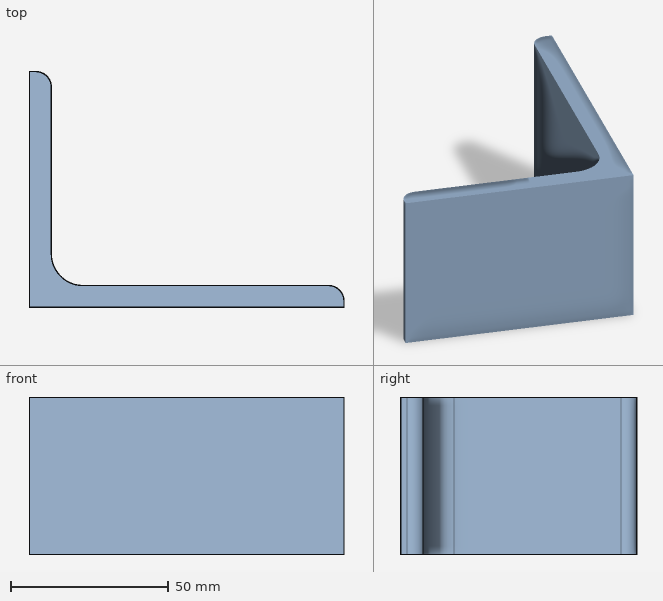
import cadquery as cq

long_leg = 100.0
short_leg = 75.0
length = 50.0
thickness = 7.0
root_radius = 10.0
toe_radius = 5.0

profile = (
    cq.Workplane("XY")
    .polyline([
        (0, 0),
        (long_leg, 0),
        (long_leg, thickness),
        (thickness, thickness),
        (thickness, short_leg),
        (0, short_leg),
    ])
    .close()
)
angle = profile.extrude(length)


def round_edge(body, x, y, radius):
    """Round the vertical edge of the body nearest to (x, y)."""
    nearest = cq.selectors.NearestToPointSelector((x, y, length / 2))
    return body.edges("|Z").edges(nearest).fillet(radius)


angle = round_edge(angle, thickness, thickness, root_radius)
angle = round_edge(angle, long_leg, thickness, toe_radius)
angle = round_edge(angle, thickness, short_leg, toe_radius)

result = angle